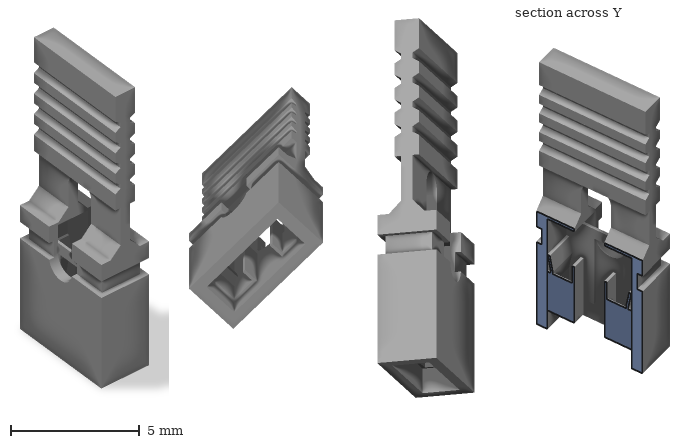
import cadquery as cq
import math

WIDTH = 5.0
DEPTH = 2.4
HEIGHT = 13.82

BLOCK_TOP = 4.4
NECK_TOP = 5.2
FLANGE_TOP = 6.0
SHOULDER_TOP = 6.5
GRIP_BOTTOM = 8.3

NECK_INSET = 0.25
SHOULDER_HALF = 0.73
WEB_HALF = 0.23
GRIP_HALF = 0.5

GROOVE_COUNT = 4
GROOVE_PITCH = 1.0
GROOVE_TOP = 12.6
GROOVE_MOUTH = 0.53
GROOVE_WALL_ANGLE = 30.0

SLOT_WIDTH = 1.4
SLOT_BOTTOM = 3.8
CAVITY_LENGTH = 3.95
CAVITY_DEPTH = 1.5
CAVITY_TOP = 5.87

SHEET = 0.12
BRIDGE_BOTTOM = 4.49
BRIDGE_TOP = 5.0
CONTACT_BOTTOM = 1.0
BACK_PLATE_TOP = 3.1
INNER_LEAF_FRONT = 0.08

LEAF_TOP = 4.0
LEAF_CREST = 3.18
LEAF_ANGLE = 10.0


def make_box(x_range, y_range, z_range):
    """Box between the two limits given along each axis."""
    lows, highs = zip(x_range, y_range, z_range)
    sizes = [high - low for low, high in zip(lows, highs)]
    return cq.Workplane("XY").box(*sizes, centered=False).translate(lows)


def make_profile_body():
    """Block, flange, shoulder, web and grip: one profile in YZ run across the whole width."""
    half_outline = [
        (DEPTH / 2, 0),
        (DEPTH / 2, FLANGE_TOP),
        (SHOULDER_HALF, FLANGE_TOP),
        (WEB_HALF, SHOULDER_TOP),
        (WEB_HALF, GRIP_BOTTOM),
        (GRIP_HALF, GRIP_BOTTOM),
        (GRIP_HALF, HEIGHT),
    ]
    mirrored = [(-y, z) for y, z in reversed(half_outline)]
    return cq.Workplane("YZ").polyline(half_outline + mirrored).close().extrude(WIDTH / 2, both=True)


def make_neck_groove():
    """Ring that narrows the housing to a neck between the block and the flange."""
    ring_height = NECK_TOP - BLOCK_TOP
    return (
        cq.Workplane("XY")
        .workplane(offset=BLOCK_TOP)
        .rect(WIDTH, DEPTH)
        .rect(WIDTH - 2 * NECK_INSET, DEPTH - 2 * NECK_INSET)
        .extrude(ring_height)
    )


def make_grip_groove(top, side):
    """Trapezoidal groove across one face of the grip; side is +1 for +Y and -1 for -Y."""
    flare = (GRIP_HALF - WEB_HALF) * math.tan(math.radians(GROOVE_WALL_ANGLE))
    bottom = top - GROOVE_MOUTH
    outline = [
        (side * GRIP_HALF, top),
        (side * WEB_HALF, top - flare),
        (side * WEB_HALF, bottom + flare),
        (side * GRIP_HALF, bottom),
    ]
    return cq.Workplane("YZ").polyline(outline).close().extrude(WIDTH / 2, both=True)


def make_slot():
    """Round-ended upright slot that passes right through along Y."""
    return (
        cq.Workplane("XZ")
        .center(0, (SLOT_BOTTOM + GRIP_BOTTOM) / 2)
        .slot2D(GRIP_BOTTOM - SLOT_BOTTOM, SLOT_WIDTH, 90)
        .extrude(DEPTH / 2, both=True)
    )


def make_cavity():
    """Rectangular chamber for the contact, open at the bottom."""
    return cq.Workplane("XY").rect(CAVITY_LENGTH, CAVITY_DEPTH).extrude(CAVITY_TOP)


def make_housing():
    body = make_profile_body().cut(make_neck_groove())
    for index in range(GROOVE_COUNT):
        for side in (1, -1):
            body = body.cut(make_grip_groove(GROOVE_TOP - index * GROOVE_PITCH, side))
    return body.cut(make_slot()).cut(make_cavity())


def make_outer_leaf():
    """Leaf that backs onto the +X end wall of the cavity and bulges inward toward the pin."""
    wall_x = CAVITY_LENGTH / 2
    rise = LEAF_TOP - LEAF_CREST
    bulge = rise * math.tan(math.radians(LEAF_ANGLE))
    back = [
        (wall_x, CONTACT_BOTTOM),
        (wall_x, LEAF_CREST - rise),
        (wall_x - bulge, LEAF_CREST),
        (wall_x, LEAF_TOP),
    ]
    face = [(x - SHEET, z) for x, z in reversed(back)]
    return cq.Workplane("XZ").polyline(back + face).close().extrude(CAVITY_DEPTH / 2, both=True)


def make_clip():
    """The half of the contact that holds the +X pin: front plate, outer leaf, back plate, inner leaf."""
    inner_x = SLOT_WIDTH / 2
    outer_x = CAVITY_LENGTH / 2
    wall_y = CAVITY_DEPTH / 2
    front_plate = make_box((inner_x, outer_x), (-wall_y, SHEET - wall_y), (CONTACT_BOTTOM, BRIDGE_TOP))
    back_plate = make_box((inner_x, outer_x), (wall_y - SHEET, wall_y), (CONTACT_BOTTOM, BACK_PLATE_TOP))
    inner_leaf = make_box((inner_x, inner_x + SHEET), (INNER_LEAF_FRONT, wall_y), (CONTACT_BOTTOM, LEAF_TOP))
    return front_plate.union(make_outer_leaf()).union(back_plate).union(inner_leaf)


def make_contact():
    """Bridge across the slot joining two mirrored pin clips."""
    wall_y = CAVITY_DEPTH / 2
    bridge_half = SLOT_WIDTH / 2
    bridge = make_box((-bridge_half, bridge_half), (-wall_y, SHEET - wall_y), (BRIDGE_BOTTOM, BRIDGE_TOP))
    clip = make_clip()
    return bridge.union(clip).union(clip.mirror("YZ"))


housing = make_housing().solids()
contact = make_contact().solids()

result = cq.Compound.makeCompound([housing.val(), contact.val()])